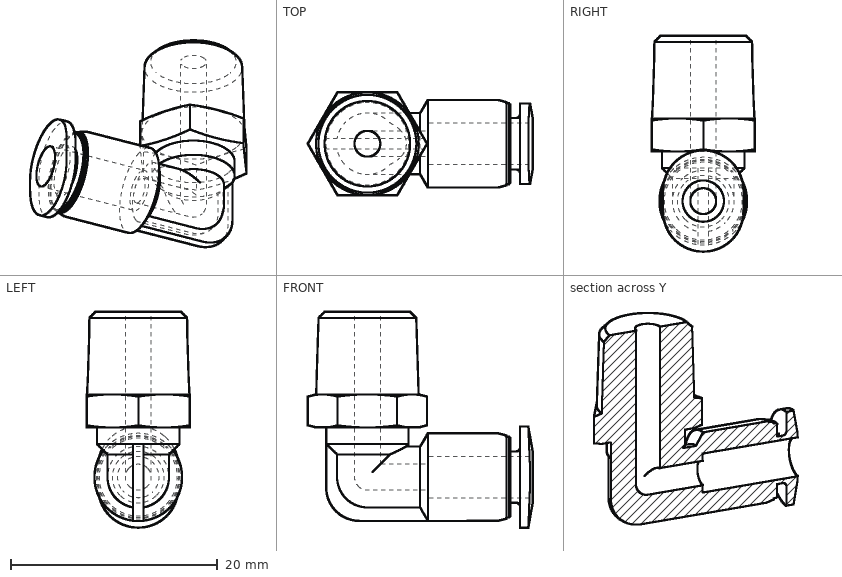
import cadquery as cq
import math


thread_top = 16.0
hex_top = 8.0
hex_height = 3.2
hex_across_flats = 10.0
hex_chamfer_angle = 15.0
thread_base_radius = 4.97
thread_taper = 1 / 32
thread_chamfer = 0.6
neck_radius = 4.0
neck_cone_top = 3.2
neck_cone_bottom = 2.2

elbow_radius = 2.975
bore_diameter = 2.5
tube_socket_diameter = 4.0

sleeve_cone_start = 5.1
sleeve_start = 5.85
sleeve_radius = 4.25
sleeve_taper_start = 12.65
sleeve_taper_end = 13.45
sleeve_taper_angle = 15.0
sleeve_end = 13.83
sleeve_lip_radius = 3.925
sleeve_lip_chamfer = 0.15

ring_neck_radius = 2.5
ring_fillet = 0.33
ring_back = 14.75
ring_rim = 15.57
ring_front = 16.0
ring_width = 7.8
ring_height = 9.8
ring_face_radius = 2.5

web_thickness = 1.0
web_corner_radius = 3.25

hex_bottom = hex_top - hex_height


def rise(run, angle):
    """Height gained over a run at an angle in degrees."""
    return run * math.tan(math.radians(angle))


def revolve_about_z(outline):
    """Solid of revolution from an (radius, z) outline in the XZ plane."""
    return outline.close().revolve(360, (0, 0, 0), (0, 1, 0))


def revolve_about_x(outline):
    """Solid of revolution from an (x, radius) outline in the XZ plane."""
    return outline.close().revolve(360, (0, 0, 0), (1, 0, 0))


def taper_thread():
    chamfer_bottom = thread_top - thread_chamfer
    crest_radius = thread_base_radius - (chamfer_bottom - hex_top) * thread_taper
    outline = (
        cq.Workplane("XZ")
        .moveTo(0, hex_top)
        .lineTo(thread_base_radius, hex_top)
        .lineTo(crest_radius, chamfer_bottom)
        .lineTo(crest_radius - thread_chamfer, thread_top)
        .lineTo(0, thread_top)
    )
    return revolve_about_z(outline)


def hexagon():
    flat_radius = hex_across_flats / 2
    corner_radius = flat_radius / math.cos(math.pi / 6)
    corner_drop = rise(corner_radius - flat_radius, hex_chamfer_angle)
    prism = (
        cq.Workplane("XY", origin=(0, 0, hex_bottom))
        .polygon(6, 2 * corner_radius)
        .extrude(hex_height)
    )
    chamfer_envelope = (
        cq.Workplane("XZ")
        .moveTo(0, hex_bottom)
        .lineTo(flat_radius, hex_bottom)
        .lineTo(corner_radius, hex_bottom + corner_drop)
        .lineTo(corner_radius, hex_top - corner_drop)
        .lineTo(flat_radius, hex_top)
        .lineTo(0, hex_top)
    )
    return prism.intersect(revolve_about_z(chamfer_envelope))


def upright_neck():
    """Collar below the hexagon, its cone and the leg down to the bend."""
    outline = (
        cq.Workplane("XZ")
        .lineTo(elbow_radius, 0)
        .lineTo(elbow_radius, neck_cone_bottom)
        .lineTo(neck_radius, neck_cone_top)
        .lineTo(neck_radius, hex_bottom)
        .lineTo(0, hex_bottom)
    )
    return revolve_about_z(outline)


def tube_leg():
    """Level leg with its sleeve, from the bend to the sleeve lip."""
    taper_end_radius = sleeve_radius - rise(sleeve_taper_end - sleeve_taper_start, sleeve_taper_angle)
    outline = (
        cq.Workplane("XZ")
        .lineTo(0, elbow_radius)
        .lineTo(sleeve_cone_start, elbow_radius)
        .lineTo(sleeve_start, sleeve_radius)
        .lineTo(sleeve_taper_start, sleeve_radius)
        .lineTo(sleeve_taper_end, taper_end_radius)
        .lineTo(sleeve_taper_end, sleeve_lip_radius)
        .lineTo(sleeve_end - sleeve_lip_chamfer, sleeve_lip_radius)
        .lineTo(sleeve_end, sleeve_lip_radius - sleeve_lip_chamfer)
        .lineTo(sleeve_end, 0)
    )
    return revolve_about_x(outline)


def ring_neck():
    fillet_start = ring_back - ring_fillet
    outline = (
        cq.Workplane("XZ")
        .moveTo(sleeve_end, 0)
        .lineTo(sleeve_end, ring_neck_radius)
        .lineTo(fillet_start, ring_neck_radius)
        .radiusArc((ring_back, ring_neck_radius + ring_fillet), -ring_fillet)
        .lineTo(ring_back, 0)
    )
    return revolve_about_x(outline)


def release_ring():
    """Oblong flange whose front face is a shallow cone around a flat centre."""
    plate = (
        cq.Workplane("YZ", origin=(ring_back, 0, 0))
        .slot2D(ring_height, ring_width, 90)
        .extrude(ring_front - ring_back)
    )
    cone_envelope = (
        cq.Workplane("XZ")
        .moveTo(ring_back, 0)
        .lineTo(ring_back, ring_height / 2)
        .lineTo(ring_rim, ring_height / 2)
        .lineTo(ring_front, ring_face_radius)
        .lineTo(ring_front, 0)
    )
    return plate.intersect(revolve_about_x(cone_envelope))


def web():
    left = -neck_radius
    bottom = -sleeve_radius
    corner_start = (left, bottom + web_corner_radius)
    return (
        cq.Workplane("XZ")
        .lineTo(0, neck_cone_top)
        .lineTo(left, neck_cone_top)
        .lineTo(*corner_start)
        .radiusArc((left + web_corner_radius, bottom), -web_corner_radius)
        .lineTo(sleeve_start, bottom)
        .lineTo(sleeve_start, 0)
        .close()
        .extrude(web_thickness / 2, both=True)
    )


def flow_passage():
    """Bore down the threaded leg, round the bend and out to the wider tube socket."""
    bore_radius = bore_diameter / 2
    upright = cq.Workplane("XY").circle(bore_radius).extrude(thread_top)
    bend = cq.Workplane("XY").sphere(bore_radius)
    level = cq.Workplane("YZ").circle(bore_radius).extrude(ring_front)
    socket = (
        cq.Workplane("YZ", origin=(sleeve_start, 0, 0))
        .circle(tube_socket_diameter / 2)
        .extrude(ring_front - sleeve_start)
    )
    return upright.union(bend).union(level).union(socket)


body = cq.Workplane("XY").sphere(elbow_radius)
for piece in (upright_neck, tube_leg, web, hexagon, taper_thread, ring_neck, release_ring):
    body = body.union(piece())

result = body.cut(flow_passage())